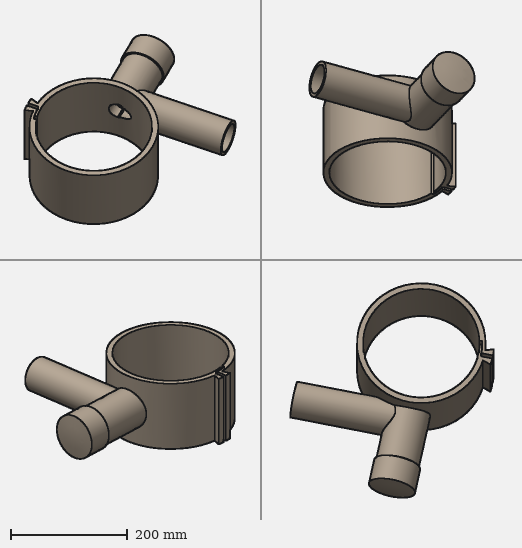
import cadquery as cq
import math

ring_height = 128.0
ring_outer_radius = 110.5
ring_inner_radius = 100.0

lug_outer_radius = 125.0
lug_root_half_width = 9.6
lug_tip_half_width = 14.5
slot_half_width = 3.0
slot_corner_radius = 4.0

lap_radius = 104.4
lap_gap = 0.6
tongue_end_y = -18.5
pocket_end_y = -25.0
pocket_corner_radius = 3.0

pipe_radius = 37.5
cap_radius = 40.6
cap_start_y = 203.5
cap_edge_y = 247.3
cap_dome_y = 250.78

branch_radius = 31.5
branch_bore_radius = 25.5
branch_y = 121.8
branch_end_x = 198.0

port_radius = 16.0
port_end_y = branch_y


def upright(sketch):
    """Extrude a sketch over the full ring height, centred on Z = 0."""
    return sketch.extrude(ring_height).translate((0, 0, -ring_height / 2))


def upright_cylinder(radius):
    return upright(cq.Workplane("XY").circle(radius))


def cylinder_along_y(radius, start_y, end_y):
    plane = cq.Plane(origin=(0, start_y, 0), xDir=(-1, 0, 0), normal=(0, 1, 0))
    return cq.Workplane(plane).circle(radius).extrude(end_y - start_y)


def cylinder_along_branch(radius):
    plane = cq.Plane(origin=(0, branch_y, 0), xDir=(0, -1, 0), normal=(1, 0, 0))
    return cq.Workplane(plane).circle(radius).extrude(branch_end_x)


def point_on_circle(radius, y):
    """Point with the given Y on the -X half of a circle about the ring axis."""
    return (-math.sqrt(radius**2 - y**2), y)


def make_lugs():
    """Both lugs as one flared block running from inside the ring wall out to a round end."""
    return upright(
        cq.Workplane("XY")
        .moveTo(-lap_radius, lug_root_half_width)
        .lineTo(*point_on_circle(ring_outer_radius, lug_root_half_width))
        .lineTo(*point_on_circle(lug_outer_radius, lug_tip_half_width))
        .threePointArc((-lug_outer_radius, 0), point_on_circle(lug_outer_radius, -lug_tip_half_width))
        .lineTo(*point_on_circle(ring_outer_radius, -lug_root_half_width))
        .lineTo(-lap_radius, -lug_root_half_width)
        .close()
    )


def make_slot():
    """Straight slot between the lugs, down to the tongue, rounded at its +Y inner corner."""
    return upright(
        cq.Workplane("XY")
        .moveTo(-lug_outer_radius, -slot_half_width)
        .lineTo(-lap_radius, -slot_half_width)
        .lineTo(-lap_radius, slot_half_width - slot_corner_radius)
        .radiusArc((-lap_radius - slot_corner_radius, slot_half_width), -slot_corner_radius)
        .lineTo(-lug_outer_radius, slot_half_width)
        .close()
    )


def make_lap_gap():
    """Thin curved gap between the tongue and the outer wall."""
    outer_radius = lap_radius + lap_gap
    middle_y = tongue_end_y / 2
    return upright(
        cq.Workplane("XY")
        .moveTo(-lap_radius, 0)
        .threePointArc(point_on_circle(lap_radius, middle_y), point_on_circle(lap_radius, tongue_end_y))
        .lineTo(*point_on_circle(outer_radius, tongue_end_y))
        .threePointArc(point_on_circle(outer_radius, middle_y), (-outer_radius, 0))
        .close()
    )


def make_pocket():
    """Pocket in the ring's inner face beyond the end of the tongue."""
    outer_radius = lap_radius + lap_gap
    corner_x, corner_y = point_on_circle(outer_radius, pocket_end_y + pocket_corner_radius)
    middle_y = (tongue_end_y + corner_y) / 2
    mouth_x = point_on_circle(ring_inner_radius, pocket_end_y)[0]
    return upright(
        cq.Workplane("XY")
        .moveTo(mouth_x, tongue_end_y)
        .lineTo(*point_on_circle(outer_radius, tongue_end_y))
        .threePointArc(point_on_circle(outer_radius, middle_y), (corner_x, corner_y))
        .radiusArc((corner_x + pocket_corner_radius, pocket_end_y), -pocket_corner_radius)
        .lineTo(mouth_x, pocket_end_y)
        .close()
    )


def make_capped_pipe():
    """Pipe from the ring axis outwards, ending in a wider cap with a shallow spherical dome."""
    dome_rise = cap_dome_y - cap_edge_y
    dome_radius = (cap_radius**2 + dome_rise**2) / (2 * dome_rise)
    cap = (
        cq.Workplane("XY")
        .moveTo(0, cap_start_y)
        .lineTo(-cap_radius, cap_start_y)
        .lineTo(-cap_radius, cap_edge_y)
        .radiusArc((0, cap_dome_y), dome_radius)
        .close()
        .revolve(360, (0, 0, 0), (0, 1, 0))
    )
    return cylinder_along_y(pipe_radius, 0, cap_start_y).union(cap)


body = upright_cylinder(ring_outer_radius).union(make_lugs())
body = body.union(make_capped_pipe())
body = body.union(cylinder_along_branch(branch_radius))
body = body.cut(upright_cylinder(ring_inner_radius))
body = body.cut(cylinder_along_branch(branch_bore_radius))
body = body.cut(cylinder_along_y(port_radius, 0, port_end_y))
body = body.cut(make_slot())
body = body.cut(make_lap_gap())
body = body.cut(make_pocket())
result = body.clean()